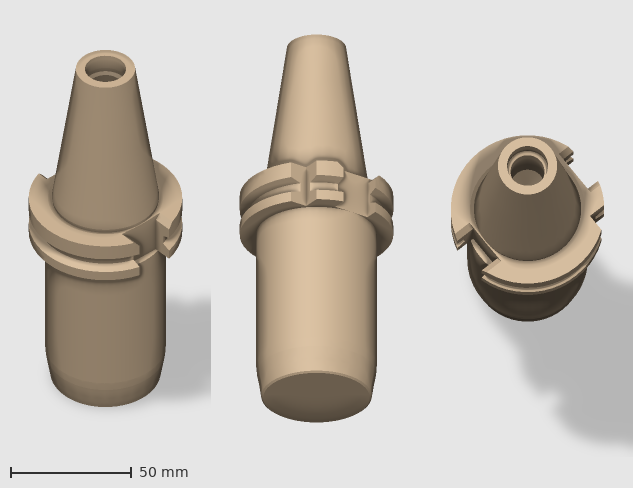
import cadquery as cq
import math

total_height = 163.2
flange_bottom = 76.0
flange_top = 94.2
gauge_height = 95.2

gauge_radius = 22.2
taper_ratio = 7 / 24
small_radius = gauge_radius - (total_height - gauge_height) * taper_ratio / 2

neck_radius = 43.9 / 2
undercut_radius = 23.8
undercut_depth = 0.7

flange_radius = 63.55 / 2
groove_radius = 28.0
groove_middle = 83.9
groove_floor_width = 3.9
groove_mouth_width = 6.9

body_radius = 50.0 / 2
nose_start = 15.2
nose_blend_end = 11.3
nose_angle = 9.6
edge_height = 0.7
edge_width = 0.8

slot_width = 16.2
slot_chamfer = 2.5
left_slot_floor = body_radius
right_slot_floor = 22.4
notch_x = 18.5
notch_y = 18.3

counterbore_radius = 17.0 / 2
counterbore_depth = 6.5
relief_radius = 17.5 / 2
relief_end = 8.5
bore_radius = 14.0 / 2
bore_chamfer_end = 9.1
bore_depth = 32.0
drill_tip_angle = 118


def revolve_about_axis(profile):
    """Turn a profile drawn in (radius, height) about the Z axis."""
    return profile.close().revolve(360, (0, 0, 0), (0, 1, 0))


def turned_body():
    slope = math.radians(nose_angle)
    blend_radius = (nose_start - nose_blend_end) / math.sin(slope)
    blend_center = body_radius - blend_radius
    blend_end_radius = blend_center + blend_radius * math.cos(slope)
    blend_mid = (
        blend_center + blend_radius * math.cos(slope / 2),
        nose_start - blend_radius * math.sin(slope / 2),
    )
    edge_radius = blend_end_radius - (nose_blend_end - edge_height) * math.tan(slope)
    profile = (
        cq.Workplane("XZ")
        .moveTo(0, 0)
        .lineTo(edge_radius - edge_width, 0)
        .lineTo(edge_radius, edge_height)
        .lineTo(blend_end_radius, nose_blend_end)
        .threePointArc(blend_mid, (body_radius, nose_start))
        .lineTo(body_radius, flange_bottom)
        .lineTo(flange_radius, flange_bottom)
        .lineTo(flange_radius, groove_middle - groove_mouth_width / 2)
        .lineTo(groove_radius, groove_middle - groove_floor_width / 2)
        .lineTo(groove_radius, groove_middle + groove_floor_width / 2)
        .lineTo(flange_radius, groove_middle + groove_mouth_width / 2)
        .lineTo(flange_radius, flange_top)
        .lineTo(undercut_radius, flange_top)
        .lineTo(neck_radius, flange_top - undercut_depth)
        .lineTo(neck_radius, gauge_height)
        .lineTo(gauge_radius, gauge_height)
        .lineTo(small_radius, total_height)
        .lineTo(0, total_height)
    )
    return revolve_about_axis(profile)


def drive_slot(floor, side):
    """Slot across the flange with chamfered top edges; side is -1 for -X, +1 for +X."""
    half = slot_width / 2
    chamfer_start = flange_top - slot_chamfer
    return (
        cq.Workplane("YZ")
        .workplane(offset=side * floor)
        .moveTo(-half, flange_bottom)
        .lineTo(half, flange_bottom)
        .lineTo(half, chamfer_start)
        .lineTo(half + slot_chamfer, flange_top)
        .lineTo(-half - slot_chamfer, flange_top)
        .lineTo(-half, chamfer_start)
        .close()
        .extrude(side * (flange_radius - floor))
    )


def orientation_notch():
    """Square notch through the flange at its -X, +Y corner."""
    return cq.Workplane("XY").box(
        flange_radius, flange_radius, flange_top - flange_bottom, centered=False
    ).translate((-notch_x - flange_radius, notch_y, flange_bottom))


def pull_stud_bore():
    tip_depth = bore_radius / math.tan(math.radians(drill_tip_angle / 2))
    profile = (
        cq.Workplane("XZ")
        .moveTo(0, total_height)
        .lineTo(counterbore_radius, total_height)
        .lineTo(counterbore_radius, total_height - counterbore_depth)
        .lineTo(relief_radius, total_height - counterbore_depth)
        .lineTo(relief_radius, total_height - relief_end)
        .lineTo(bore_radius, total_height - bore_chamfer_end)
        .lineTo(bore_radius, total_height - bore_depth)
        .lineTo(0, total_height - bore_depth - tip_depth)
    )
    return revolve_about_axis(profile)


result = (
    turned_body()
    .cut(drive_slot(left_slot_floor, -1))
    .cut(drive_slot(right_slot_floor, 1))
    .cut(orientation_notch())
    .cut(pull_stud_bore())
)